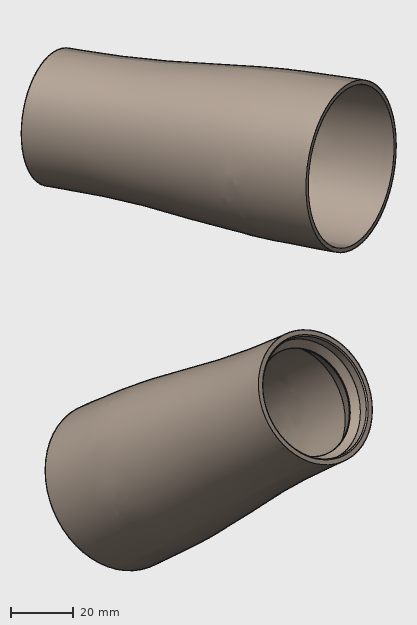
import cadquery as cq
import math

length = 110.0
small_radius = 22.4
large_diameter = 56.0
large_radius = large_diameter / 2
collar_length = 3.8
wall = 1.4

mouth_radius = 20.8
mouth_chamfer = 0.4
socket_radius = mouth_radius - mouth_chamfer
socket_depth = 3.7
throat_radius = 18.0
throat_start = socket_depth + socket_radius - throat_radius
throat_end = 6.6
relief_end = 13.2

middle = length / 2
middle_radius = (small_radius + large_radius) / 2
arc_length = middle - collar_length
arc_rise = middle_radius - small_radius
flare_radius = (arc_length**2 + arc_rise**2) / (2 * arc_rise)
flare_end = length - collar_length


def flare_height(x):
    """Outer radius of the sleeve at distance x from the narrow end."""
    if x <= middle:
        run = max(x - collar_length, 0)
        return small_radius + flare_radius - math.sqrt(flare_radius**2 - run**2)
    run = max(flare_end - x, 0)
    return large_radius - flare_radius + math.sqrt(flare_radius**2 - run**2)


def flare_slope(x):
    """Rise of the outer radius per unit of length at distance x."""
    run = max(min(x - collar_length, flare_end - x), 0)
    return run / math.sqrt(flare_radius**2 - run**2)


def flare_point(x, inset=0.0):
    return (x, flare_height(x) - inset)


def follow_flare(profile, start, end, inset=0.0):
    """Continue the profile along one arc of the flare, as a smooth curve."""
    path = [flare_point(x, inset) for x in (start, (start + end) / 2, end)]
    tangents = [(1, flare_slope(x)) for x in (start, end)]
    return profile.spline(path[1:], tangents=tangents, includeCurrent=True)


def revolve_about_x(profile):
    """Sweep the profile as two half turns, leaving seams along the top and bottom."""
    half = profile.close().revolve(180, (0, 0, 0), (1, 0, 0))
    return half.union(half.rotate((0, 0, 0), (1, 0, 0), 180), clean=False)


def outer_body():
    profile = (
        cq.Workplane("XZ")
        .lineTo(0, small_radius)
        .lineTo(collar_length, small_radius)
    )
    profile = follow_flare(profile, collar_length, middle)
    profile = follow_flare(profile, middle, flare_end)
    profile = profile.lineTo(length, large_radius).lineTo(length, 0)
    return revolve_about_x(profile)


def inner_bore():
    profile = (
        cq.Workplane("XZ")
        .lineTo(0, mouth_radius)
        .lineTo(mouth_chamfer, socket_radius)
        .lineTo(socket_depth, socket_radius)
        .lineTo(throat_start, throat_radius)
        .lineTo(throat_end, throat_radius)
        .lineTo(*flare_point(relief_end, wall))
    )
    profile = follow_flare(profile, relief_end, middle, wall)
    profile = follow_flare(profile, middle, flare_end, wall)
    profile = profile.lineTo(length, large_radius - wall).lineTo(length, 0)
    return revolve_about_x(profile)


result = outer_body().cut(inner_bore(), clean=False).translate((-middle, 0, 0))